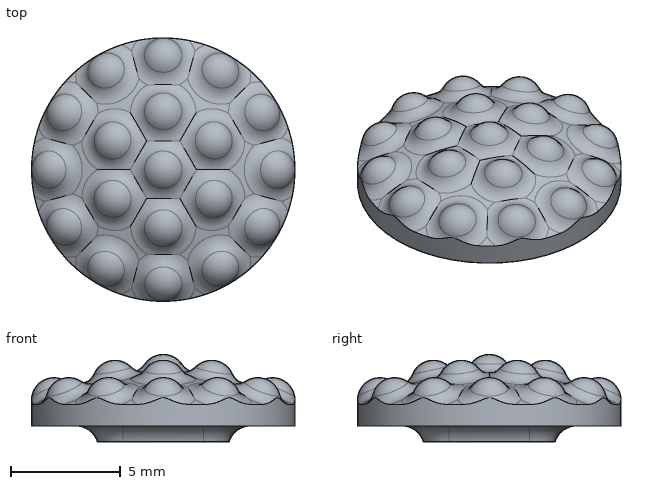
import cadquery as cq
import math

disc_diameter = 12.0
total_height = 3.98
disc_bottom = 0.72

dome_radius = 12.5

bump_tip_radius = 13.25
bump_cap_radius = 1.03
bump_flare_radius = 0.91
bump_root_depth = 0.48
ring_tilt_step = 12.0
ring_count = 2
bumps_per_ring_step = 6
first_bump_azimuth = 90.0

foot_width = 6.0
foot_corner_radius = 1.18
foot_flare_radius = 1.0

dome_center_z = total_height - bump_tip_radius


def make_envelope():
    """Cylinder that bounds the whole part."""
    return cq.Workplane("XY").circle(disc_diameter / 2).extrude(total_height)


def make_disc():
    """Flat-bottomed disc with a spherical top."""
    blank = cq.Workplane("XY", origin=(0, 0, disc_bottom)).circle(disc_diameter / 2).extrude(total_height)
    dome = cq.Workplane("XY").sphere(dome_radius).translate((0, 0, dome_center_z))
    return blank.intersect(dome)


def add_foot(body):
    """Add the foot, which flares into the body with a quarter round cut off at the bottom face."""
    cut_off_height = foot_flare_radius - disc_bottom
    flare_growth = foot_flare_radius - math.sqrt(foot_flare_radius**2 - cut_off_height**2)
    neck_width = foot_width - 2 * flare_growth
    neck = (
        cq.Workplane("XY", origin=(0, 0, -foot_flare_radius))
        .rect(neck_width, neck_width)
        .extrude(foot_flare_radius + disc_bottom)
        .edges("|Z")
        .fillet(foot_corner_radius - flare_growth)
    )
    half_width = foot_width / 2
    junction_margin = 0.12
    around_junction = cq.selectors.BoxSelector(
        (-half_width, -half_width, disc_bottom - junction_margin),
        (half_width, half_width, disc_bottom + junction_margin),
        boundingbox=True,
    )
    flared = body.union(neck).edges(around_junction).fillet(foot_flare_radius)
    return flared.intersect(make_envelope())


def make_bump():
    """Upright bump on the dome apex, revolved about the vertical axis."""
    cap_center = bump_tip_radius - bump_cap_radius
    dome_to_flare = dome_radius + bump_flare_radius
    cap_to_flare = bump_cap_radius + bump_flare_radius
    flare_height = (cap_center**2 + dome_to_flare**2 - cap_to_flare**2) / (2 * cap_center)
    flare_offset = math.sqrt(dome_to_flare**2 - flare_height**2)

    seam_angle = math.atan2(flare_offset, flare_height - cap_center)
    rim_angle = math.atan2(flare_offset, flare_height)

    def on_cap(angle):
        return (bump_cap_radius * math.sin(angle), cap_center + bump_cap_radius * math.cos(angle))

    def on_flare(angle):
        return (
            flare_offset - bump_flare_radius * math.sin(angle),
            flare_height - bump_flare_radius * math.cos(angle),
        )

    rim_offset, rim_height = on_flare(rim_angle)
    root_height = rim_height - bump_root_depth
    profile = (
        cq.Workplane("XZ")
        .moveTo(0, bump_tip_radius)
        .threePointArc(on_cap(seam_angle / 2), on_cap(seam_angle))
        .threePointArc(on_flare((seam_angle + rim_angle) / 2), (rim_offset, rim_height))
        .lineTo(rim_offset, root_height)
        .lineTo(0, root_height)
        .close()
    )
    return profile.revolve(360, (0, 0, 0), (0, 1, 0)).translate((0, 0, dome_center_z))


def place_bump(bump, tilt, azimuth):
    """Tilt a bump about the dome center, then turn it about the vertical axis."""
    tilted = bump.rotate((0, 0, dome_center_z), (0, 1, dome_center_z), tilt)
    return tilted.rotate((0, 0, 0), (0, 0, 1), azimuth)


body = make_disc()

center_bump = make_bump()
body = body.union(center_bump)
for ring in range(1, ring_count + 1):
    bump_count = ring * bumps_per_ring_step
    for index in range(bump_count):
        azimuth = first_bump_azimuth + index * 360 / bump_count
        body = body.union(place_bump(center_bump, ring * ring_tilt_step, azimuth))

body = body.intersect(make_envelope())
result = add_foot(body)